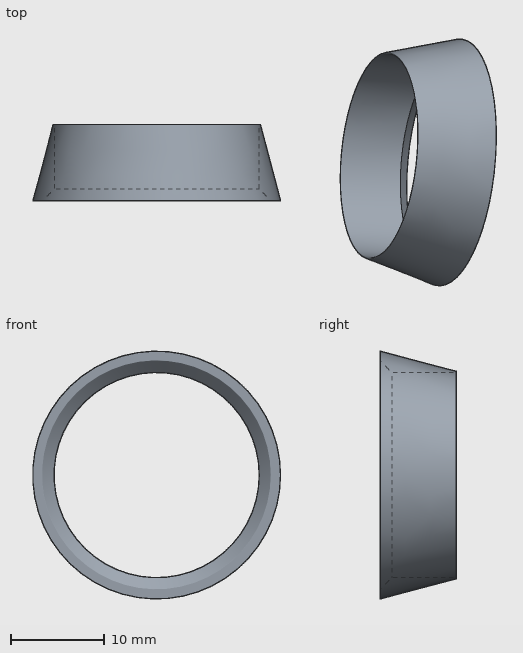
import cadquery as cq

width = 8.2
wide_diameter = 26.65
narrow_diameter = 22.3
bore_diameter = 22.0
mouth_chamfer = 1.28
edge_radius = 0.04

wide_end = -width / 2
narrow_end = width / 2
bore_radius = bore_diameter / 2


def ring_blank():
    """Tapered ring with a straight bore and a chamfered mouth, all edges sharp."""
    section = (
        cq.Workplane("XY")
        .moveTo(bore_radius + mouth_chamfer, wide_end)
        .lineTo(wide_diameter / 2, wide_end)
        .lineTo(narrow_diameter / 2, narrow_end)
        .lineTo(bore_radius, narrow_end)
        .lineTo(bore_radius, wide_end + mouth_chamfer)
        .close()
    )
    return section.revolve(360, (0, 0, 0), (0, 1, 0))


def round_end_edges(ring):
    """Round the inner and outer edges of both end faces."""
    return ring.faces("<Y or >Y").edges().fillet(edge_radius)


result = round_end_edges(ring_blank())